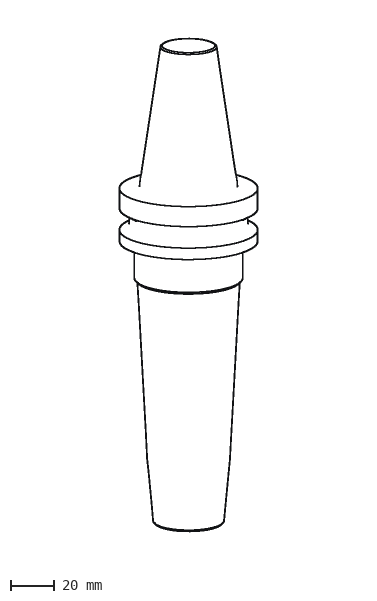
import cadquery as cq

height = 225.5

gauge_radius = 22.3
taper_length = 65.4
taper_slope = 7 / 24 / 2
tip_chamfer = 0.7

neck_length = 2.0
root_fillet = 1.1

flange_radius = 31.5
flange_thickness = 25.0
groove_radius = 27.0
upper_rim_height = 9.5
lower_rim_height = 5.5
groove_floor_height = 5.0
groove_fillet = 1.0

collar_radius = 24.8
collar_length = 18.5
collar_chamfer = 1.1
body_top_radius = 23.5
body_bottom_radius = 19.0
nose_length = 30.2
nose_end_radius = 16.2
nose_chamfer = 1.0

gauge_z = height - taper_length
flange_top = gauge_z - neck_length
flange_bottom = flange_top - flange_thickness
collar_bottom = flange_bottom - collar_length
tip_radius = gauge_radius - taper_slope * taper_length

groove_top = flange_top - upper_rim_height
groove_bottom = flange_bottom + lower_rim_height
groove_side_height = (groove_top - groove_bottom - groove_floor_height) / 2
floor_top = groove_top - groove_side_height
floor_bottom = groove_bottom + groove_side_height

profile = (
    cq.Workplane("XZ")
    .moveTo(0, 0)
    .lineTo(nose_end_radius - nose_chamfer, 0)
    .lineTo(nose_end_radius, nose_chamfer)
    .lineTo(body_bottom_radius, nose_length)
    .lineTo(body_top_radius, collar_bottom)
    .lineTo(collar_radius - collar_chamfer, collar_bottom)
    .lineTo(collar_radius, collar_bottom + collar_chamfer)
    .lineTo(collar_radius, flange_bottom)
    .lineTo(flange_radius, flange_bottom)
    .lineTo(flange_radius, groove_bottom)
    .lineTo(groove_radius, floor_bottom)
    .lineTo(groove_radius, floor_top)
    .lineTo(flange_radius, groove_top)
    .lineTo(flange_radius, flange_top)
    .lineTo(gauge_radius + root_fillet, flange_top)
    .radiusArc((gauge_radius, flange_top + root_fillet), root_fillet)
    .lineTo(gauge_radius, gauge_z)
    .lineTo(tip_radius + taper_slope * tip_chamfer, height - tip_chamfer)
    .lineTo(tip_radius - tip_chamfer, height)
    .lineTo(0, height)
    .close()
)

holder = profile.revolve(360, (0, 0, 0), (0, 1, 0))

margin = 0.2
floor_edges = cq.selectors.BoxSelector(
    (-flange_radius, -flange_radius, floor_bottom - margin),
    (flange_radius, flange_radius, floor_top + margin),
    boundingbox=True,
)
result = holder.edges(floor_edges).edges("%CIRCLE").fillet(groove_fillet)